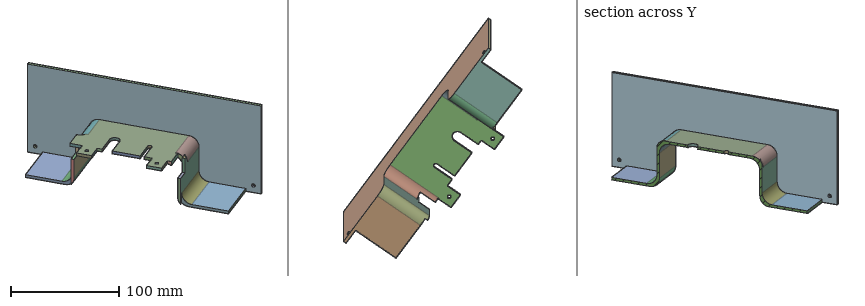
import cadquery as cq
import math

sheet = 3.0
plate_width = 230.0
plate_height = 93.0
plate_hole_inset = 7.5
hole_diameter = 3.3

bend_radius = 10.0
wall_outer_x = 54.0
wall_inner_x = wall_outer_x - sheet
roof_top = 48.0
roof_underside = roof_top - sheet
flange_end_x = 100.0
flange_reach = 49.0
wall_reach = 52.0
wall_upper_reach = 40.0
wall_step_z = 30.0
roof_reach = 55.0
roof_right_x = 46.0

bend_reach = 33.0
right_bend_reach = 38.0
runout_ring_radius = bend_radius * math.sqrt(2)
runout_tube_radius = runout_ring_radius - bend_radius

slot_x = 17.25
wide_slot_width = 10.0
wide_slot_end_reach = 30.0
narrow_slot_width = 4.0
narrow_slot_end_reach = 33.0
tab_x = 34.5
tab_width = 15.0
tab_reach = 70.0
tab_hole_reach = tab_reach - tab_width / 2


def box(x_range, reach_range, z_range):
    """Box between two x values, two distances from the plate back and two z values."""
    (x0, x1), (near, far), (z0, z1) = x_range, reach_range, z_range
    return cq.Workplane("XY").box(x1 - x0, far - near, z1 - z0, centered=False).translate((x0, -far, z0))


def extrude_forward(outline, near, far):
    """Extrude an XZ outline from one distance in front of the plate back to another."""
    return outline.extrude(far - near).translate((0, -near, 0))


def opening():
    """Space under the hat: walls and roof rounded together, flared at the bottom edge."""
    foot_x = wall_inner_x + bend_radius
    crown_x = wall_inner_x - bend_radius
    outline = (
        cq.Workplane("XZ")
        .moveTo(-foot_x, 0)
        .radiusArc((-wall_inner_x, bend_radius), -bend_radius)
        .lineTo(-wall_inner_x, roof_underside - bend_radius)
        .radiusArc((-crown_x, roof_underside), bend_radius)
        .lineTo(crown_x, roof_underside)
        .radiusArc((wall_inner_x, roof_underside - bend_radius), bend_radius)
        .lineTo(wall_inner_x, bend_radius)
        .radiusArc((foot_x, 0), -bend_radius)
        .close()
    )
    return extrude_forward(outline, 0, tab_reach)


def back_plate():
    hole_x = plate_width / 2 - plate_hole_inset
    holes = (
        cq.Workplane("XZ")
        .pushPoints([(-hole_x, plate_hole_inset), (hole_x, plate_hole_inset)])
        .circle(hole_diameter / 2)
        .extrude(sheet)
    )
    return box((-plate_width / 2, plate_width / 2), (0, sheet), (0, plate_height)).cut(holes)


def flange(side):
    """Bottom flange with the concave bend that rises into the wall; side is -1 or +1."""
    bend_start_x = wall_outer_x + bend_radius
    outline = (
        cq.Workplane("XZ")
        .moveTo(side * flange_end_x, 0)
        .lineTo(side * flange_end_x, sheet)
        .lineTo(side * bend_start_x, sheet)
        .radiusArc((side * wall_outer_x, sheet + bend_radius), side * bend_radius)
        .lineTo(side * wall_outer_x, 0)
        .close()
    )
    return extrude_forward(outline, sheet, flange_reach)


def hat_block():
    """Solid block of the walls and roof before the opening is removed."""
    width = (-wall_outer_x, wall_outer_x)
    block = box(width, (sheet, wall_reach), (0, wall_step_z))
    block = block.union(box(width, (sheet, wall_upper_reach), (0, roof_underside)))
    block = block.union(box(width, (sheet, right_bend_reach), (roof_underside, roof_top)))
    crown_x = wall_inner_x - bend_radius
    roof = box((-wall_outer_x, roof_right_x), (sheet, roof_reach), (roof_underside, roof_top))
    right_bend_root = box(
        (crown_x, roof_right_x), (sheet, roof_reach), (roof_underside - bend_radius, roof_underside)
    )
    return block.union(roof).union(right_bend_root)


def right_bend_relief():
    """Gap between the roof's right edge and the right wall."""
    gap = box((roof_right_x, wall_inner_x), (right_bend_reach, roof_reach), (wall_step_z, roof_top))
    above_wall = box((wall_inner_x, wall_outer_x), (bend_reach, roof_reach), (roof_underside, roof_top))
    return gap.union(above_wall)


def corner_rounding(side, reach):
    """Material outside the rounded roof corner, from the plate out to a given reach."""
    axis_x = side * (wall_outer_x - bend_radius)
    axis_z = roof_top - bend_radius
    outline = (
        cq.Workplane("XZ")
        .moveTo(axis_x, roof_top)
        .radiusArc((side * wall_outer_x, axis_z), side * bend_radius)
        .lineTo(side * wall_outer_x, roof_top)
        .close()
    )
    return extrude_forward(outline, sheet, reach)


def right_corner_rounding():
    """Right rounding, which runs further over the bend than over the wall."""
    wall_beyond_bend = box((wall_inner_x, wall_outer_x), (bend_reach, right_bend_reach), (0, roof_top))
    return corner_rounding(1, right_bend_reach).cut(wall_beyond_bend)


def corner_runout(side):
    """Ring-shaped cut, coaxial with the roof corner, that ends the rounding."""
    ring = cq.Solid.makeTorus(
        runout_ring_radius,
        runout_tube_radius,
        cq.Vector(side * (wall_outer_x - bend_radius), -bend_reach, roof_top - bend_radius),
        cq.Vector(0, 1, 0),
    )
    inner_x = wall_outer_x - bend_radius if side < 0 else wall_inner_x
    x_range = sorted((side * inner_x, side * wall_outer_x))
    corner = box(x_range, (bend_reach, roof_reach), (roof_top - bend_radius, roof_top))
    return corner.intersect(cq.Workplane(obj=ring))


def round_ended_slot(centre_x, width, end_reach):
    """Slot cut in from the front edge of the roof, with a full round at its closed end."""
    radius = width / 2
    round_y = end_reach + radius
    straight = box((centre_x - radius, centre_x + radius), (round_y, roof_reach), (0, roof_top))
    return straight.union(cq.Workplane("XY").center(centre_x, -round_y).circle(radius).extrude(roof_top))


def tab(x):
    """Screw tab with its hole, centred on x."""
    plate = box((x - tab_width / 2, x + tab_width / 2), (roof_reach, tab_reach), (roof_underside, roof_top))
    hole = cq.Workplane("XY").center(x, -tab_hole_reach).circle(hole_diameter / 2).extrude(roof_top)
    return plate.cut(hole)


hat = hat_block().cut(right_bend_relief())
hat = hat.cut(corner_rounding(-1, bend_reach)).cut(right_corner_rounding())
for side in (-1, 1):
    hat = hat.cut(corner_runout(side)).union(flange(side))
hat = hat.cut(round_ended_slot(-slot_x, wide_slot_width, wide_slot_end_reach))
hat = hat.cut(round_ended_slot(slot_x, narrow_slot_width, narrow_slot_end_reach))

result = back_plate().union(hat).cut(opening())
for x in (-tab_x, tab_x):
    result = result.union(tab(x))